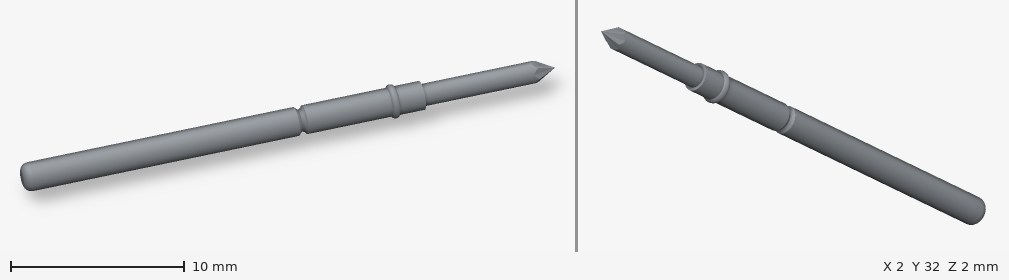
import math

import cadquery as cq

overall_length = 32.0
tip_y = overall_length / 2
tail_y = tip_y - overall_length

plunger_radius = 0.65
ridge_count = 6
ridge_length = 1.12
flute_length = 1.40

barrel_radius = 0.85
barrel_front_y = tip_y - 8.0
tail_round = 0.48

collar_radius = 1.0
collar_width = 0.46
collar_y = tip_y - 9.75

groove_front_y = tip_y - 15.05
groove_bottom_y = tip_y - 15.35
groove_rear_y = tip_y - 15.55
groove_radius = 0.65
groove_rise = barrel_radius - groove_radius
groove_run = groove_front_y - groove_bottom_y
groove_arc_radius = (groove_run**2 + groove_rise**2) / (2 * groove_rise)


def rod(radius, start_y, end_y):
    """Cylinder about the Y axis between two stations."""
    plane = cq.Plane(origin=(0, start_y, 0), xDir=(1, 0, 0), normal=(0, 1, 0))
    return cq.Workplane(plane).circle(radius).extrude(end_y - start_y)


def star_point():
    """Pyramid with a star base; its flute bottoms just reach the rod surface at the base."""
    base_y = tip_y - flute_length
    ridge_radius = plunger_radius * flute_length / ridge_length
    corner_count = 2 * ridge_count
    corners = []
    for i in range(corner_count):
        radius = ridge_radius if i % 2 == 0 else plunger_radius
        angle = 2 * math.pi * i / corner_count
        corners.append(cq.Vector(radius * math.cos(angle), base_y, radius * math.sin(angle)))

    apex = cq.Vector(0, tip_y, 0)
    outline = cq.Wire.makePolygon(corners, close=True)
    faces = [cq.Face.makeFromWires(outline)]
    for i in range(corner_count):
        side = cq.Wire.makePolygon([corners[i - 1], corners[i], apex], close=True)
        faces.append(cq.Face.makeFromWires(side))
    pyramid = cq.Solid.makeSolid(cq.Shell.makeShell(faces))
    return cq.Workplane(pyramid)


def plunger():
    base_y = tip_y - flute_length
    point = rod(plunger_radius, base_y, tip_y).intersect(star_point())
    return rod(plunger_radius, barrel_front_y, base_y).union(point)


def barrel():
    return rod(barrel_radius, tail_y, barrel_front_y).faces("<Y").edges().fillet(tail_round)


def revolve_about_y(profile):
    """Full turn of a profile in the XY plane about the Y axis."""
    return profile.revolve(360, (0, 0, 0), (0, 1, 0))


def collar():
    half_width = collar_width / 2
    profile = (
        cq.Workplane("XY")
        .moveTo(-barrel_radius, collar_y - half_width)
        .threePointArc((-collar_radius, collar_y), (-barrel_radius, collar_y + half_width))
        .close()
    )
    return revolve_about_y(profile)


def crimp_groove():
    """Ring whose front wall is an arc, level at the bottom, and whose rear wall is a cone."""
    profile = (
        cq.Workplane("XY")
        .moveTo(-groove_radius, groove_bottom_y)
        .lineTo(-barrel_radius, groove_rear_y)
        .lineTo(-barrel_radius, groove_front_y)
        .radiusArc((-groove_radius, groove_bottom_y), groove_arc_radius)
        .close()
    )
    return revolve_about_y(profile)


result = barrel().union(collar()).cut(crimp_groove()).union(plunger())